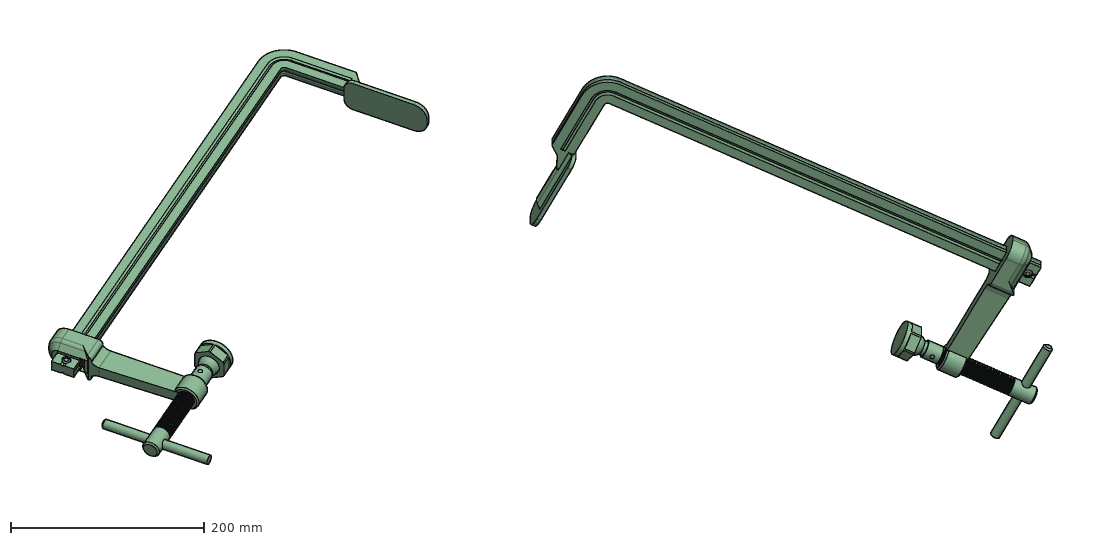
import cadquery as cq
import math


OVERALL_LENGTH = 585

RAIL_WIDTH = 26.0
RAIL_THICKNESS = 12.0
RAIL_END_Y = -490.5
RAIL_TOP_Y = 28.0
RAIL_BEND_RADIUS = 17.0
RAIL_ARM_END_X = 85.5
GROOVE_WIDTH = 5.0
FACE_GROOVE_DEPTH = 1.0
EDGE_GROOVE_DEPTH = 0.5

JAW_LEFT_X = 85.0
JAW_RIGHT_X = 180.0
JAW_HEIGHT = 38.0
JAW_THICKNESS = 4.5
JAW_NEAR_RADIUS = 10.5
JAW_TIP_RADIUS = 15.0
RIDGE_TOP_Y = 10.5
RIDGE_BASE_HALF = 10.0
RIDGE_CROWN_Y = 9.0
RIDGE_CROWN_HALF = 6.0
RIDGE_START_X = 109.0
RIDGE_END_X = 158.5
RIDGE_END_SLOPE = 4.0
NECK_BREAK_X = 95.0
NECK_BREAK_Y = 16.5

STOP_PIN_Y = -481.5
STOP_PIN_RADIUS = 4.5
STOP_PIN_CHAMFER = 2.5

ARM_TOP_Y = -450.0
HEAD_BOTTOM_Y = -476.5
HEAD_LEFT_X = -27.5
HEAD_RIGHT_X = 21.5
HEAD_HEIGHT = 34.5
HEAD_HALF_HEIGHT = HEAD_HEIGHT / 2
HEAD_NOSE_RADIUS = 15.0
HEAD_BOTTOM_CHAMFER = 8.0
HEAD_CHAMFER_ROUND = 7.0
SEAM_MARGIN = 0.5
SHOULDER_LEFT_X = 9.5
SHOULDER_BOTTOM_Y = -477.5
SHOULDER_ROUND = 5.0
SHOULDER_STEP_Z = 10.5
SHOULDER_END_X = 35.5
SHOULDER_RUNOUT_Y = -463.5
SHOULDER_RUNOUT_X = 23.5
ARM_HALF_THICKNESS = 6.5
BOSS_RADIUS = 14.5
BOSS_BOTTOM_Y = -474.0
BOSS_CHAMFER = 2.0
WINDOW_FLARE_WIDTH = 6.5
WINDOW_FLARE_DEPTH = 9.0
WINDOW_FLARE_HALF_HEIGHT = 9.0

SPINDLE_X = 133.5
SPINDLE_DIAMETER = 19.5
SPINDLE_RADIUS = SPINDLE_DIAMETER / 2
SPINDLE_TIP_Y = -430.0
SPINDLE_END_Y = RAIL_TOP_Y - OVERALL_LENGTH
SPINDLE_CHAMFER = 2.0
THREAD_START_Y = -447.0
THREAD_PITCH = 2.0
THREAD_GROOVE_WIDTH = 1.6
THREAD_DEPTH = 1.0
THREAD_TURNS = 42

HANDLE_Y = -543.0
HANDLE_RADIUS = 5.0
HANDLE_LENGTH = 121.5
HANDLE_CHAMFER = 2.0

PAD_FACE_Y = -401.0
PAD_FLANGE_BACK_Y = -406.0
PAD_BACK_Y = -418.0
PAD_RADIUS = JAW_HEIGHT / 2
PAD_HEX_FLATS = 34.0
BALL_RADIUS = 11.5
STUD_NECK_DIAMETER = 16.0
STUD_SHANK_RADIUS = 4.5
STUD_END_Y = -444.5
STUD_PIN_Y = -439.0
STUD_PIN_RADIUS = 2.5

RAIL_HALF_WIDTH = RAIL_WIDTH / 2
RAIL_HALF_THICKNESS = RAIL_THICKNESS / 2


def rod_along_y(x, radius, start_y, end_y):
    """Cylinder parallel to Y that runs from start_y down to end_y."""
    return cq.Workplane("XZ", origin=(x, start_y, 0)).circle(radius).extrude(start_y - end_y)


def rod_along_z(x, y, radius, half_length):
    """Cylinder parallel to Z, centred on Z = 0."""
    return cq.Workplane("XY", origin=(x, y, 0)).circle(radius).extrude(half_length, both=True)


def rail_profile():
    """Rectangular bar section at the free end, with a V groove in the middle of each side."""
    half_groove = GROOVE_WIDTH / 2
    w, t = RAIL_HALF_WIDTH, RAIL_HALF_THICKNESS
    points = [
        (-w, -t), (-half_groove, -t), (0, FACE_GROOVE_DEPTH - t), (half_groove, -t),
        (w, -t), (w, -half_groove), (w - EDGE_GROOVE_DEPTH, 0), (w, half_groove),
        (w, t), (half_groove, t), (0, t - FACE_GROOVE_DEPTH), (-half_groove, t),
        (-w, t), (-w, half_groove), (EDGE_GROOVE_DEPTH - w, 0), (-w, -half_groove),
    ]
    return cq.Workplane("XZ", origin=(0, RAIL_END_Y, 0)).polyline(points).close()


def make_bar():
    """The grooved bar: a long leg, a bend and a short leg."""
    short_leg_y = RAIL_TOP_Y - RAIL_HALF_WIDTH
    path = (
        cq.Workplane("XY")
        .moveTo(0, RAIL_END_Y)
        .lineTo(0, short_leg_y - RAIL_BEND_RADIUS)
        .radiusArc((RAIL_BEND_RADIUS, short_leg_y), RAIL_BEND_RADIUS)
        .lineTo(RAIL_ARM_END_X, short_leg_y)
    )
    return rail_profile().sweep(path)


def make_jaw_plate():
    """Flat plate with its clamping face at Y = 0; the tip corners are rounder than the near ones."""
    plate = cq.Workplane("XY").box(
        JAW_RIGHT_X - JAW_LEFT_X, JAW_THICKNESS, JAW_HEIGHT, centered=(False, False, True)
    ).translate((JAW_LEFT_X, 0, 0))
    plate = plate.edges("|Y and <X").fillet(JAW_NEAR_RADIUS)
    return plate.edges("|Y and >X").fillet(JAW_TIP_RADIUS)


def make_jaw_neck():
    """Sloping web that joins the end of the bar to the ridge."""
    return (
        cq.Workplane("XY")
        .moveTo(RAIL_ARM_END_X, RAIL_TOP_Y)
        .lineTo(NECK_BREAK_X, NECK_BREAK_Y)
        .lineTo(RIDGE_START_X, RIDGE_TOP_Y)
        .lineTo(RIDGE_START_X, 0)
        .lineTo(RAIL_ARM_END_X, 0)
        .close()
        .extrude(RAIL_HALF_THICKNESS, both=True)
    )


def make_jaw_ridge():
    """Ridge on the plate's back: sloping sides, a rounded crown and a sloping end near the tip."""
    length = RIDGE_END_X - RAIL_ARM_END_X
    ridge = (
        cq.Workplane("YZ", origin=(RAIL_ARM_END_X, 0, 0))
        .moveTo(0, -RIDGE_BASE_HALF)
        .lineTo(JAW_THICKNESS, -RIDGE_BASE_HALF)
        .lineTo(RIDGE_CROWN_Y, -RIDGE_CROWN_HALF)
        .threePointArc((RIDGE_TOP_Y, 0), (RIDGE_CROWN_Y, RIDGE_CROWN_HALF))
        .lineTo(JAW_THICKNESS, RIDGE_BASE_HALF)
        .lineTo(0, RIDGE_BASE_HALF)
        .close()
        .extrude(length)
    )
    end_slope = (
        cq.Workplane("XY")
        .moveTo(RIDGE_END_X, JAW_THICKNESS)
        .lineTo(RIDGE_END_X, RIDGE_TOP_Y)
        .lineTo(RIDGE_END_X - RIDGE_END_SLOPE, RIDGE_TOP_Y)
        .close()
        .extrude(RIDGE_BASE_HALF, both=True)
    )
    return ridge.cut(end_slope)


def make_stop_pin():
    pin = rod_along_z(0, STOP_PIN_Y, STOP_PIN_RADIUS, RAIL_HALF_THICKNESS)
    return pin.faces("<Z or >Z").chamfer(STOP_PIN_CHAMFER)


def make_rail():
    rail = make_bar().union(make_jaw_neck()).union(make_jaw_plate()).union(make_jaw_ridge())
    return rail.cut(rod_along_z(0, STOP_PIN_Y, STOP_PIN_RADIUS, RAIL_THICKNESS))


def make_arm_head():
    """Block around the rail with a rounded nose; its lower rim has a chamfer blended into the sides."""
    head = cq.Workplane("XY").box(
        HEAD_RIGHT_X - HEAD_LEFT_X, ARM_TOP_Y - HEAD_BOTTOM_Y, HEAD_HEIGHT,
        centered=(False, False, True),
    ).translate((HEAD_LEFT_X, HEAD_BOTTOM_Y, 0))
    head = head.edges("|Y and <X").fillet(HEAD_NOSE_RADIUS)
    head = head.faces("<Y").edges("not >X").chamfer(HEAD_BOTTOM_CHAMFER)
    seam_y = HEAD_BOTTOM_Y + HEAD_BOTTOM_CHAMFER
    seam = cq.selectors.BoxSelector(
        (HEAD_LEFT_X - SEAM_MARGIN, seam_y - SEAM_MARGIN, -HEAD_HALF_HEIGHT - SEAM_MARGIN),
        (HEAD_RIGHT_X, seam_y + SEAM_MARGIN, HEAD_HALF_HEIGHT + SEAM_MARGIN),
    )
    return head.edges(seam).fillet(HEAD_CHAMFER_ROUND)


def make_arm_shoulder():
    """Step from the head's height to the arm's thickness: a convex round, a drop and a concave run-out."""
    step_x = HEAD_RIGHT_X + SHOULDER_ROUND
    round_end_z = HEAD_HALF_HEIGHT - SHOULDER_ROUND
    run = SHOULDER_END_X - step_x
    drop = SHOULDER_STEP_Z - ARM_HALF_THICKNESS
    diagonal = math.sqrt(0.5)
    convex_middle = (HEAD_RIGHT_X + SHOULDER_ROUND * diagonal, round_end_z + SHOULDER_ROUND * diagonal)
    concave_radius = (run**2 + drop**2) / (2 * drop)
    step = (
        cq.Workplane("XZ", origin=(0, ARM_TOP_Y, 0))
        .moveTo(SHOULDER_LEFT_X, 0)
        .lineTo(SHOULDER_LEFT_X, HEAD_HALF_HEIGHT)
        .lineTo(HEAD_RIGHT_X, HEAD_HALF_HEIGHT)
        .threePointArc(convex_middle, (step_x, round_end_z))
        .lineTo(step_x, SHOULDER_STEP_Z)
        .radiusArc((SHOULDER_END_X, ARM_HALF_THICKNESS), -concave_radius)
        .lineTo(SHOULDER_END_X, 0)
        .close()
        .extrude(ARM_TOP_Y - SHOULDER_BOTTOM_Y)
    )
    runout = (
        cq.Workplane("XY")
        .moveTo(SHOULDER_LEFT_X, SHOULDER_RUNOUT_Y)
        .lineTo(SHOULDER_RUNOUT_X, SHOULDER_BOTTOM_Y)
        .lineTo(SHOULDER_LEFT_X, SHOULDER_BOTTOM_Y)
        .close()
        .extrude(HEAD_HALF_HEIGHT)
    )
    upper_half = step.cut(runout)
    return upper_half.union(upper_half.mirror("XY"))


def make_arm_beam():
    """Flat beam from the shoulder to the boss; its lower edge rises towards the boss."""
    return (
        cq.Workplane("XY")
        .moveTo(SHOULDER_RUNOUT_X, ARM_TOP_Y)
        .lineTo(SPINDLE_X, ARM_TOP_Y)
        .lineTo(SPINDLE_X, BOSS_BOTTOM_Y)
        .lineTo(SHOULDER_END_X, SHOULDER_BOTTOM_Y)
        .lineTo(SHOULDER_RUNOUT_X, SHOULDER_BOTTOM_Y)
        .close()
        .extrude(ARM_HALF_THICKNESS, both=True)
    )


def make_arm_boss():
    boss = rod_along_y(SPINDLE_X, BOSS_RADIUS, ARM_TOP_Y, BOSS_BOTTOM_Y)
    return boss.faces("<Y or >Y").chamfer(BOSS_CHAMFER)


def make_window_flare():
    """Wedge that widens the lower end of the rail passage on the side of the throat."""
    return (
        cq.Workplane("XY", origin=(0, SHOULDER_BOTTOM_Y, 0))
        .moveTo(RAIL_HALF_WIDTH, 0)
        .lineTo(RAIL_HALF_WIDTH + WINDOW_FLARE_WIDTH, 0)
        .lineTo(RAIL_HALF_WIDTH, WINDOW_FLARE_DEPTH)
        .close()
        .extrude(WINDOW_FLARE_HALF_HEIGHT, both=True)
    )


def make_arm():
    arm = make_arm_head().union(make_arm_shoulder()).union(make_arm_beam()).union(make_arm_boss())
    bore = rod_along_y(SPINDLE_X, SPINDLE_RADIUS, ARM_TOP_Y, SHOULDER_BOTTOM_Y)
    return arm.cut(make_bar()).cut(make_window_flare()).cut(bore)


def handle_rod():
    start = (SPINDLE_X - HANDLE_LENGTH / 2, HANDLE_Y, 0)
    return cq.Workplane("YZ", origin=start).circle(HANDLE_RADIUS).extrude(HANDLE_LENGTH)


def make_handle():
    return handle_rod().faces("<X").chamfer(HANDLE_CHAMFER)


def stud_pin_rod():
    return rod_along_z(SPINDLE_X, STUD_PIN_Y, STUD_PIN_RADIUS, SPINDLE_RADIUS)


def make_spindle():
    """Round bar with ring-shaped thread grooves, bored for the stud, its pin and the handle."""
    profile = cq.Workplane("XY", origin=(SPINDLE_X, 0, 0)).moveTo(0, SPINDLE_TIP_Y)
    profile = profile.lineTo(SPINDLE_RADIUS, SPINDLE_TIP_Y)
    for turn in range(THREAD_TURNS):
        groove_y = THREAD_START_Y - turn * THREAD_PITCH
        profile = profile.lineTo(SPINDLE_RADIUS, groove_y)
        profile = profile.lineTo(SPINDLE_RADIUS - THREAD_DEPTH, groove_y - THREAD_GROOVE_WIDTH / 2)
        profile = profile.lineTo(SPINDLE_RADIUS, groove_y - THREAD_GROOVE_WIDTH)
    spindle = (
        profile.lineTo(SPINDLE_RADIUS, SPINDLE_END_Y + SPINDLE_CHAMFER)
        .lineTo(SPINDLE_RADIUS - SPINDLE_CHAMFER, SPINDLE_END_Y)
        .lineTo(0, SPINDLE_END_Y)
        .close()
        .revolve(360, (0, 0, 0), (0, 1, 0))
    )
    stud_bore = rod_along_y(SPINDLE_X, STUD_SHANK_RADIUS, SPINDLE_TIP_Y, STUD_END_Y)
    return spindle.cut(stud_bore).cut(stud_pin_rod()).cut(handle_rod())


def ball():
    """Ball centred on the back face of the pad."""
    return cq.Workplane("XY").sphere(BALL_RADIUS).translate((SPINDLE_X, PAD_BACK_Y, 0))


def make_ball_stud():
    neck = rod_along_y(SPINDLE_X, STUD_NECK_DIAMETER / 2, PAD_BACK_Y, SPINDLE_TIP_Y)
    shank = rod_along_y(SPINDLE_X, STUD_SHANK_RADIUS, PAD_BACK_Y, STUD_END_Y)
    return ball().union(neck).union(shank).cut(stud_pin_rod())


def make_pad():
    """Round flange backed by a hexagon, with a socket for the ball."""
    flange = rod_along_y(SPINDLE_X, PAD_RADIUS, PAD_FACE_Y, PAD_FLANGE_BACK_Y)
    hexagon = (
        cq.Workplane("XZ", origin=(SPINDLE_X, PAD_FLANGE_BACK_Y, 0))
        .transformed(rotate=(0, 0, 90))
        .polygon(6, PAD_HEX_FLATS / math.cos(math.pi / 6))
        .extrude(PAD_FLANGE_BACK_Y - PAD_BACK_Y)
    )
    envelope = rod_along_y(SPINDLE_X, PAD_RADIUS, PAD_FACE_Y, PAD_BACK_Y)
    return flange.union(hexagon.intersect(envelope)).cut(ball())


rail = make_rail()
stop_pin = make_stop_pin()
arm = make_arm()
spindle = make_spindle()
handle = make_handle()
ball_stud = make_ball_stud()
stud_pin = stud_pin_rod()
pad = make_pad()

bodies = [rail, stop_pin, arm, spindle, handle, ball_stud, stud_pin, pad]
result = cq.Compound.makeCompound([body.solids().val() for body in bodies])